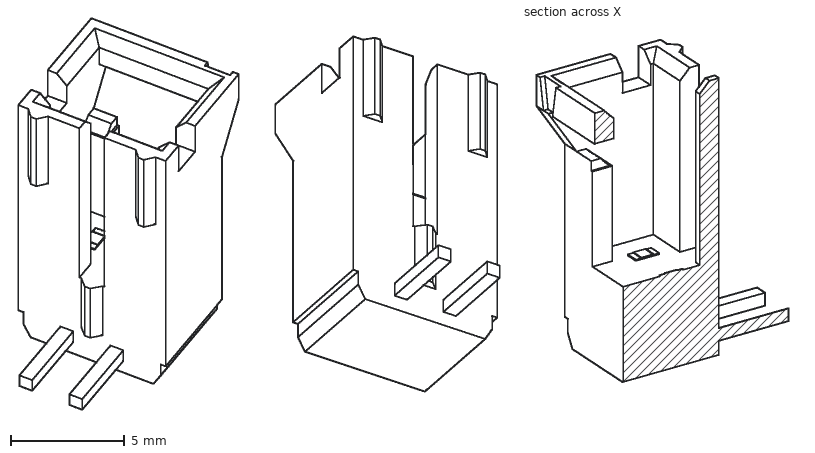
import cadquery as cq

width = 7.49
depth = 10.27
height = 13.59
mouth_depth = 6.58
body_depth = 5.08
rear_wall_bottom = 12.07
flare_bottom = 9.83
shoulder_z = 1.33
shoulder_inset = 0.26
base_chamfer_width = 0.37
base_chamfer_height = 0.64

wall = 1.02
mouth_chamfer = 0.52
floor_z = 4.69
cavity_width = 5.55
slot_width = 1.26
notch_front = 1.17
notch_width = 1.48
notch_depth = 1.54

rib_height = 0.41
rib_tip = 0.27
side_rib_base = 1.0
side_rib_x = 2.73
side_rib_length = 4.01
center_rib_base = 1.09
center_rib_bottom = 1.75

rail_gap = 3.2
rail_foot_gap = 2.99
rail_depth = 0.98
rail_foot_depth = 1.06
rail_flat = 0.5
rail_chamfer_height = rail_depth - rail_flat

pin_pitch = 2.54
pin_size = 0.65
pin_bottom = 0.69
tail_length = depth - mouth_depth
contact_depth = 1.24
contact_y = 2.53
pad_rise = 0.05
pin_end_rise = 0.08

mark_x = 2.8
mark_top_width = 1.28
mark_bottom_width = 0.73
mark_depth = 0.25


def block(x0, x1, y0, y1, z0, z1):
    return cq.Workplane("XY").box(x1 - x0, y1 - y0, z1 - z0, centered=False).translate((x0, y0, z0))


def side_extrusion(points, x0, x1):
    """Extrude a (Y, Z) outline from x0 to x1."""
    return cq.Workplane("YZ", origin=(x0, 0, 0)).polyline(points).close().extrude(x1 - x0)


def front_extrusion(points, y0, y1):
    """Extrude an (X, Z) outline from y0 to y1."""
    return cq.Workplane("XZ", origin=(0, y0, 0)).polyline(points).close().extrude(y0 - y1)


def make_shell():
    side = [
        (0, 0),
        (body_depth, 0),
        (body_depth, flare_bottom),
        (mouth_depth, rear_wall_bottom),
        (mouth_depth, height),
        (0, height),
    ]
    half = width / 2
    foot = half - shoulder_inset
    right_edge = [
        (foot - base_chamfer_width, 0),
        (foot, base_chamfer_height),
        (foot, shoulder_z),
        (half, shoulder_z),
        (half, height),
    ]
    left_edge = [(-x, z) for x, z in reversed(right_edge)]
    shell = side_extrusion(side, -half, half)
    return shell.intersect(front_extrusion(right_edge + left_edge, 0, mouth_depth))


def make_cavity():
    half = cavity_width / 2
    rear = mouth_depth - wall
    cavity = block(-half, half, wall, rear, floor_z, height)
    rear_opening = block(-half, half, rear, mouth_depth, floor_z, rear_wall_bottom)
    mouth = (
        cq.Workplane("XY", origin=(0, (wall + rear) / 2, height))
        .rect(cavity_width + 2 * mouth_chamfer, rear - wall + 2 * mouth_chamfer)
        .workplane(offset=-mouth_chamfer)
        .rect(cavity_width, rear - wall)
        .loft(ruled=True)
    )
    slot = block(-slot_width / 2, slot_width / 2, 0, wall, floor_z, height)
    notch = block(
        -width / 2, width / 2, notch_front, notch_front + notch_width, height - notch_depth, height
    )
    return cavity.union(rear_opening).union(mouth).union(slot).union(notch)


def make_mark():
    outline = [
        (mark_x - mark_top_width / 2, height),
        (mark_x - mark_bottom_width / 2, rear_wall_bottom),
        (mark_x + mark_bottom_width / 2, rear_wall_bottom),
        (mark_x + mark_top_width / 2, height),
    ]
    return front_extrusion(outline, mouth_depth - mark_depth, mouth_depth)


def make_rib(x, base, bottom, top):
    outline = [
        (x - base / 2, 0),
        (x - rib_tip / 2, -rib_height),
        (x + rib_tip / 2, -rib_height),
        (x + base / 2, 0),
    ]
    return cq.Workplane("XY", origin=(0, 0, bottom)).polyline(outline).close().extrude(top - bottom)


def make_rail():
    """Right-hand rail: a sloped-top upper part standing on a slightly wider foot."""
    front = body_depth - rail_depth
    outline = [
        (front, floor_z),
        (body_depth, floor_z),
        (body_depth, flare_bottom),
        (body_depth - rail_flat, flare_bottom),
        (front, flare_bottom - rail_chamfer_height),
    ]
    outer = cavity_width / 2
    upper = side_extrusion(outline, rail_gap / 2, outer)
    foot_front = body_depth - rail_foot_depth
    foot_top = flare_bottom - rail_chamfer_height
    foot = block(rail_foot_gap / 2, outer, foot_front, body_depth, floor_z, foot_top)
    return upper.union(foot)


def make_pin(x):
    """Pin with a tail out of the front face and an end on a low pad in the cavity floor."""
    x0 = x - pin_size / 2
    x1 = x + pin_size / 2
    pin_front = contact_y - pin_size / 2
    pin_rear = contact_y + pin_size / 2
    pad_front = contact_y - contact_depth / 2
    pad_rear = contact_y + contact_depth / 2
    tail = block(x0, x1, -tail_length, pin_rear, pin_bottom, shoulder_z)
    upright = block(x0, x1, pin_front, pin_rear, pin_bottom, floor_z + pin_end_rise)
    pad = block(x0, x1, pad_front, pad_rear, pin_bottom, floor_z + pad_rise)
    return tail.union(upright).union(pad)


result = make_shell().cut(make_cavity()).cut(make_mark())

right_rail = make_rail()
result = result.union(right_rail).union(right_rail.mirror("YZ"))

result = result.union(make_rib(0, center_rib_base, center_rib_bottom, floor_z))
for side in (-1, 1):
    result = result.union(make_rib(side * side_rib_x, side_rib_base, height - side_rib_length, height))
    result = result.union(make_pin(side * pin_pitch / 2))